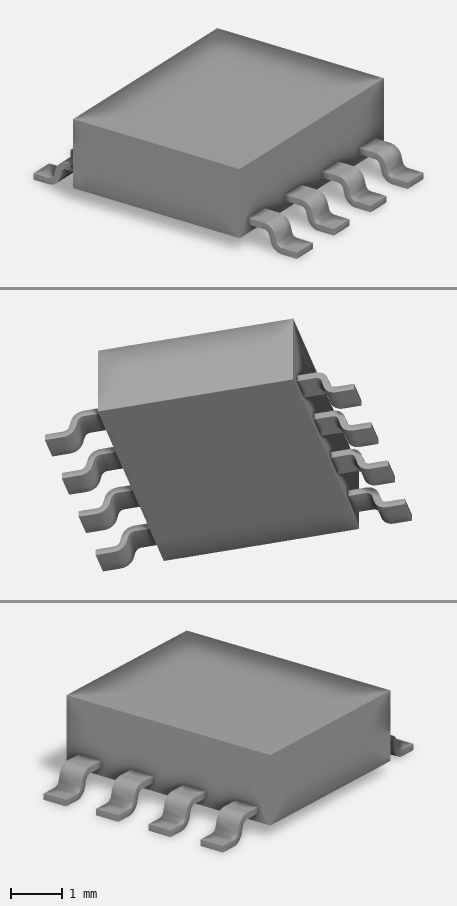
import cadquery as cq
import math

overall_span = 6.25
body_width = 3.95
body_length = 4.95
body_height = 1.5
standoff = 0.25

leads_per_side = 4
lead_pitch = 1.27
lead_width = 0.545
lead_thickness = 0.14
lead_top = 0.57
foot_length = 0.36
inner_radius = 0.13
bend_angle = math.radians(75)

outer_radius = inner_radius + lead_thickness
bend_sine = math.sin(bend_angle)
bend_rise = 1 - math.cos(bend_angle)
inner_arc = (inner_radius * bend_sine, inner_radius * bend_rise)
outer_arc = (outer_radius * bend_sine, outer_radius * bend_rise)
ramp_rise = lead_top - lead_thickness - inner_arc[1] - outer_arc[1]
ramp_run = ramp_rise / math.tan(bend_angle)
shoulder_length = (
    (overall_span - body_width) / 2 - foot_length - inner_arc[0] - ramp_run - outer_arc[0]
)


def make_body():
    """Rectangular package block."""
    return (
        cq.Workplane("XY")
        .workplane(offset=standoff)
        .rect(body_width, body_length)
        .extrude(body_height)
    )


def make_lead(y_center):
    """Lead on the -X side: flat foot, S-bend up, and a flat shoulder that butts against the block."""
    return (
        cq.Workplane("XZ", origin=(0, y_center + lead_width / 2, 0))
        .moveTo(-overall_span / 2, lead_thickness)
        .hLine(foot_length)
        .tangentArcPoint(inner_arc)
        .line(ramp_run, ramp_rise)
        .tangentArcPoint(outer_arc)
        .hLine(shoulder_length)
        .vLine(-lead_thickness)
        .hLine(-shoulder_length)
        .tangentArcPoint((-inner_arc[0], -inner_arc[1]))
        .line(-ramp_run, -ramp_rise)
        .tangentArcPoint((-outer_arc[0], -outer_arc[1]))
        .hLine(-foot_length)
        .close()
        .extrude(lead_width)
    )


body = make_body()

leads = []
for index in range(leads_per_side):
    lead_y = (index - (leads_per_side - 1) / 2) * lead_pitch
    for turn in (0, 180):
        lead = make_lead(lead_y).rotate((0, 0, 0), (0, 0, 1), turn)
        leads.append(lead.val())

result = cq.Compound.makeCompound([body.val(), *leads])